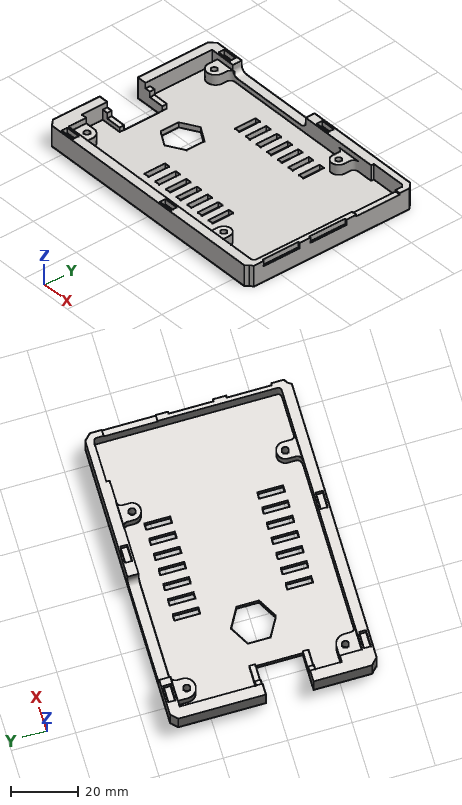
import cadquery as cq
import math

MID_ARC = math.sqrt(0.5)

LENGTH = 94.0
WIDTH = 64.2
HEIGHT = 7.8
FLOOR = 2.0
CORNER = 2.0
FRONT_LEFT_DENT = (0.75, 1.3)
FRONT_RIGHT_DENT = (1.1, 1.2)

WALL_LEFT = 3.6
WALL_RIGHT = 2.0
WALL_SIDE = 3.5
INNER_RADIUS = 1.1
RELIEF_START = 77.9
RELIEF_DEPTH = 1.0
CORNER_WALL = 5.6

BOSS_TOP = 5.7
HOLE_DIAMETER = 2.2
HOLE_FRONT_Y = 7.6
HOLE_BACK_Y = 56.9
LEFT_BOSS_X = 9.3
BACK_BOSS_X = 67.4
FRONT_BOSS_X = 73.1
LEFT_BOSS_RADIUS = 3.2
BOSS_RADIUS = 2.7
BOSS_FILLET = 1.7

OPENING_DEPTH = 11.5
OPENING_START = 20.2
OPENING_END = 35.0
RIB_WIDTH = 1.8
RIB_TOP = 3.7
RIB_STEP_TOP = 5.7

NOTCH_START = 13.35
NOTCH_END = 47.3
NOTCH_FLOOR = 3.9
NOTCH_RADIUS = 2.2

RIM_DIP_START = 41.7
RIM_DIP_END = 58.5
RIM_DIP_DEPTH = 0.6
RECESS_STARTS = (5.9, 24.0)
RECESS_LENGTH = 13.9
RECESS_WIDTH = 0.7

POCKET_STARTS = (5.8, 51.7)
POCKET_LENGTH = 5.4
POCKET_WIDTH = 2.2
POCKET_INSET = 0.7
POCKET_DEPTH = 2.0

HEX_CENTER = (25.0, 31.6)
HEX_ACROSS_FLATS = 12.1
VENT_COUNT = 7
VENT_FIRST_X = 33.1
VENT_PITCH = 5.0
VENT_WIDTH = 2.1
VENT_LENGTH = 8.0
VENT_CENTERS_Y = (14.9, 50.0)


def block(x0, x1, y0, y1, z0, z1):
    return cq.Workplane("XY").box(x1 - x0, y1 - y0, z1 - z0, centered=False).translate((x0, y0, z0))


def outer_body():
    outline = [
        (0, CORNER),
        FRONT_LEFT_DENT,
        (CORNER, 0),
        (LENGTH - CORNER, 0),
        (LENGTH - FRONT_RIGHT_DENT[0], FRONT_RIGHT_DENT[1]),
        (LENGTH, CORNER),
        (LENGTH, WIDTH - CORNER),
        (LENGTH - CORNER, WIDTH),
        (CORNER, WIDTH),
        (0, WIDTH - CORNER),
    ]
    return cq.Workplane("XY").polyline(outline).close().extrude(HEIGHT)


def cavity():
    x_right = LENGTH - WALL_RIGHT
    y_back = WIDTH - WALL_SIDE
    y_relief = y_back + RELIEF_DEPTH
    main = block(WALL_LEFT, x_right, WALL_SIDE, y_relief, FLOOR, HEIGHT)
    main = main.edges("|Z and >X").fillet(INNER_RADIUS)
    back_wall = block(WALL_LEFT, RELIEF_START, y_back, y_relief, FLOOR, HEIGHT)
    front_corner = block(WALL_LEFT, CORNER_WALL, WALL_SIDE, HOLE_FRONT_Y + BOSS_RADIUS, FLOOR, HEIGHT)
    return main.cut(back_wall).cut(front_corner)


def boss(x, y, radius, wall_y, square_left=False, fillet_left=True):
    """Round-ended boss reaching to wall_y and flared where it meets that wall."""
    toward = math.copysign(1, wall_y - y)
    tip_y = y - toward * BOSS_RADIUS
    end_y = tip_y + toward * radius
    flare_y = wall_y - toward * BOSS_FILLET
    bend = BOSS_FILLET * (1 - MID_ARC)
    left = x - radius
    right = x + radius
    profile = cq.Workplane("XY", origin=(0, 0, FLOOR))
    if fillet_left:
        profile = profile.moveTo(left - BOSS_FILLET, wall_y)
        profile = profile.threePointArc((left - bend, wall_y - toward * bend), (left, flare_y))
    else:
        profile = profile.moveTo(left, wall_y)
    if square_left:
        profile = profile.lineTo(left, tip_y).lineTo(x, tip_y)
        middle = (x + radius * MID_ARC, end_y - toward * radius * MID_ARC)
    else:
        profile = profile.lineTo(left, end_y)
        middle = (x, tip_y)
    profile = profile.threePointArc(middle, (right, end_y)).lineTo(right, flare_y)
    profile = profile.threePointArc((right + bend, wall_y - toward * bend), (right + BOSS_FILLET, wall_y))
    return profile.close().extrude(BOSS_TOP - FLOOR)


def bosses():
    y_back = WIDTH - WALL_SIDE
    back_left = boss(LEFT_BOSS_X, HOLE_BACK_Y, LEFT_BOSS_RADIUS, y_back, fillet_left=False)
    back_right = boss(BACK_BOSS_X, HOLE_BACK_Y, BOSS_RADIUS, y_back)
    front_right = boss(FRONT_BOSS_X, HOLE_FRONT_Y, BOSS_RADIUS, WALL_SIDE)
    front_left = boss(LEFT_BOSS_X, HOLE_FRONT_Y, LEFT_BOSS_RADIUS, WALL_SIDE,
                      square_left=True, fillet_left=False)
    front_left_fill = block(CORNER_WALL, LEFT_BOSS_X, WALL_SIDE, HOLE_FRONT_Y + BOSS_RADIUS, FLOOR, BOSS_TOP)
    front_left = front_left.union(front_left_fill)
    return back_left.union(back_right).union(front_right).union(front_left)


def screw_holes():
    centers = [
        (LEFT_BOSS_X, HOLE_FRONT_Y),
        (LEFT_BOSS_X, HOLE_BACK_Y),
        (BACK_BOSS_X, HOLE_BACK_Y),
        (FRONT_BOSS_X, HOLE_FRONT_Y),
    ]
    return cq.Workplane("XY").pushPoints(centers).circle(HOLE_DIAMETER / 2).extrude(HEIGHT)


def opening_ribs():
    y0 = OPENING_START - RIB_WIDTH
    y1 = OPENING_END + RIB_WIDTH
    low = block(WALL_LEFT, OPENING_DEPTH, y0, y1, FLOOR, RIB_TOP)
    step = block(WALL_LEFT, CORNER_WALL, y0, y1, FLOOR, RIB_STEP_TOP)
    return low.union(step)


def card_opening():
    return block(0, OPENING_DEPTH, OPENING_START, OPENING_END, 0, HEIGHT)


def cable_notch():
    notch = block(NOTCH_START, NOTCH_END, WIDTH - WALL_SIDE, WIDTH, NOTCH_FLOOR, HEIGHT)
    return notch.edges("|Y and <Z").fillet(NOTCH_RADIUS)


def right_wall_cuts():
    x_inner = LENGTH - WALL_RIGHT
    cuts = block(x_inner, LENGTH, RIM_DIP_START, RIM_DIP_END, HEIGHT - RIM_DIP_DEPTH, HEIGHT)
    for start in RECESS_STARTS:
        recess = block(LENGTH - RECESS_WIDTH, LENGTH, start, start + RECESS_LENGTH,
                       HEIGHT - POCKET_DEPTH, HEIGHT)
        cuts = cuts.union(recess)
    return cuts


def latch_pockets():
    pockets = cq.Workplane("XY")
    for x in POCKET_STARTS:
        for y in (POCKET_INSET, WIDTH - POCKET_INSET - POCKET_WIDTH):
            pocket = block(x, x + POCKET_LENGTH, y, y + POCKET_WIDTH, HEIGHT - POCKET_DEPTH, HEIGHT)
            pockets = pockets.add(pocket)
    return pockets.combine()


def floor_openings():
    hexagon = cq.Workplane("XY").polygon(6, HEX_ACROSS_FLATS, circumscribed=True).extrude(FLOOR)
    hexagon = hexagon.translate((*HEX_CENTER, 0))
    centers = [(VENT_FIRST_X + i * VENT_PITCH, y) for i in range(VENT_COUNT) for y in VENT_CENTERS_Y]
    vents = cq.Workplane("XY").pushPoints(centers).rect(VENT_WIDTH, VENT_LENGTH).extrude(FLOOR)
    return hexagon.union(vents)


tray = outer_body().cut(cavity()).union(bosses()).union(opening_ribs())
tray = tray.cut(card_opening())
tray = tray.cut(screw_holes()).cut(floor_openings())
result = tray.cut(cable_notch()).cut(right_wall_cuts()).cut(latch_pockets())